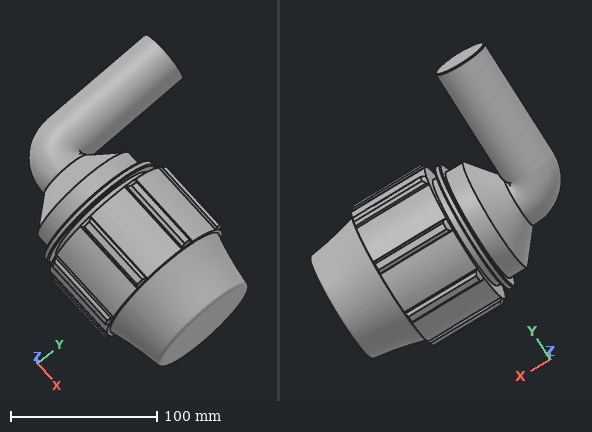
import cadquery as cq
import math

pipe_radius = 40.0 / 2
bend_radius = 16.1
pipe_end_y = 106.0
pipe_chamfer = 0.7

body_radius = 84.7 / 2
ring_radius = 98.3 / 2
ring_chamfer = 0.9
nut_radius = 52.7
tail_start_radius = 49.8
tail_end_radius = 41.3
tail_sag = 0.9
end_rounding = 2.5

cone_start_x = 18.5
body_start_x = 37.0
ring_start_x = 50.9
ring_end_x = 55.7
nut_start_x = 61.2
nut_end_x = 120.2
coupling_end_x = 181 - pipe_radius

rib_count = 8
rib_width = 9.5
rib_top_radius = 56.5
rib_root_radius = 48.9
rib_edge_chamfer = 2.2
rib_start_slope = 3.0
rib_end_slope = 1.3


def make_pipe():
    """Straight pipe with a chamfered free end."""
    return (
        cq.Workplane("XZ", origin=(0, bend_radius, 0))
        .circle(pipe_radius)
        .extrude(bend_radius - pipe_end_y)
        .faces(">Y")
        .chamfer(pipe_chamfer)
    )


def make_elbow():
    """Quarter-turn elbow; its bend axis cuts the pipe section, giving a sharp inner corner."""
    half_chord = math.sqrt(pipe_radius**2 - bend_radius**2)
    return (
        cq.Workplane("XZ", origin=(0, bend_radius, 0))
        .moveTo(bend_radius, -half_chord)
        .threePointArc((-pipe_radius, 0), (bend_radius, half_chord))
        .close()
        .revolve(90, (bend_radius, 0), (bend_radius, 1))
    )


def make_coupling():
    """Cone, body, retaining ring, nut and tapered tail as one turned profile."""
    tail_middle = (
        (nut_end_x + coupling_end_x) / 2,
        (tail_start_radius + tail_end_radius) / 2 - tail_sag,
    )
    turned = (
        cq.Workplane("XY")
        .moveTo(bend_radius, 0)
        .lineTo(bend_radius, pipe_radius)
        .lineTo(cone_start_x, pipe_radius)
        .lineTo(body_start_x, body_radius)
        .lineTo(nut_start_x, body_radius)
        .lineTo(nut_start_x, nut_radius)
        .lineTo(nut_end_x, nut_radius)
        .lineTo(nut_end_x, tail_start_radius)
        .threePointArc(tail_middle, (coupling_end_x, tail_end_radius))
        .lineTo(coupling_end_x, 0)
        .close()
        .revolve(360, (0, 0), (1, 0))
        .faces(">X")
        .edges()
        .fillet(end_rounding)
    )
    ring = (
        cq.Workplane("YZ", origin=(ring_start_x, 0, 0))
        .circle(ring_radius)
        .extrude(ring_end_x - ring_start_x)
        .edges()
        .chamfer(ring_chamfer)
    )
    return turned.union(ring)


def make_rib(angle):
    """Grip rib with chamfered outer edges and sloping ends, turned about X by the given angle."""
    height = rib_top_radius - rib_root_radius
    block = (
        cq.Workplane("XY")
        .box(nut_end_x - nut_start_x, rib_width, height, centered=(False, True, False))
        .translate((nut_start_x, 0, rib_root_radius))
        .edges("|X and >Z")
        .chamfer(rib_edge_chamfer)
    )
    side_outline = (
        cq.Workplane("XZ")
        .moveTo(nut_start_x, rib_root_radius)
        .lineTo(nut_start_x, nut_radius)
        .lineTo(nut_start_x + rib_start_slope, rib_top_radius)
        .lineTo(nut_end_x - rib_end_slope, rib_top_radius)
        .lineTo(nut_end_x, nut_radius)
        .lineTo(nut_end_x, rib_root_radius)
        .close()
        .extrude(rib_width, both=True)
    )
    return block.intersect(side_outline).rotate((0, 0, 0), (1, 0, 0), angle)


result = make_pipe().union(make_elbow()).union(make_coupling())
for index in range(rib_count):
    result = result.union(make_rib((index + 0.5) * 360 / rib_count))